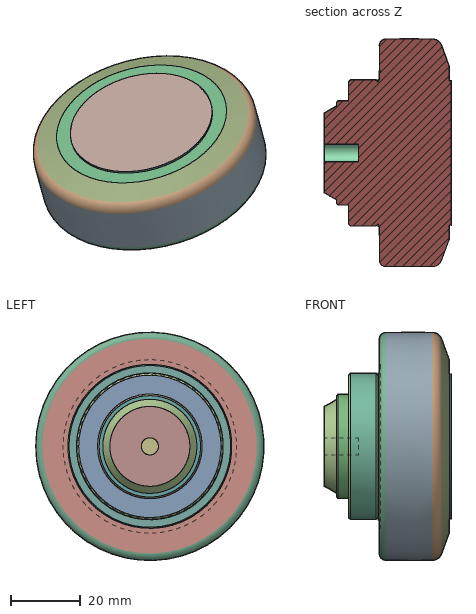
import cadquery as cq
import math

shoulder_x = 3.55
flange_x = 6.95
flange_end_x = 15.45
wheel_x = 15.8
wheel_end_x = 35.9
overall_length = 36.5

nose_tip_diameter = 22.9
nose_base_diameter = 27.0
shoulder_diameter = 30.0
shoulder_chamfer = 0.45
flange_diameter = 42.0
flange_chamfer = 0.6

wheel_diameter = 65.5
crown_radius = 497.8
front_corner_radius = 1.95
tread_start_x = wheel_x + front_corner_radius
tread_end_x = 31.0
back_corner_radius = 2.95
back_cone_angle = 20.0

front_disc_diameter = 42.1
back_disc_diameter = 41.5
ring_outer_diameter = 47.0
ring_inner_diameter = 46.4
ring_depth = (ring_outer_diameter - ring_inner_diameter) / 2

hole_diameter = 4.9
hole_depth = 9.8


def disc(start_x, end_x, diameter):
    """Cylinder about the X axis."""
    return cq.Workplane("YZ", origin=(start_x, 0, 0)).circle(diameter / 2).extrude(end_x - start_x)


def make_nose():
    """Truncated cone that widens toward the shoulder."""
    profile = [
        (0, 0),
        (0, nose_tip_diameter / 2),
        (shoulder_x, nose_base_diameter / 2),
        (shoulder_x, 0),
    ]
    return cq.Workplane("XY").polyline(profile).close().revolve(360, (0, 0, 0), (1, 0, 0))


def make_shoulder():
    return disc(shoulder_x, flange_x, shoulder_diameter).faces("<X").chamfer(shoulder_chamfer)


def make_flange():
    """Flange with both rims chamfered."""
    return disc(flange_x, flange_end_x, flange_diameter).faces("<X or >X").chamfer(flange_chamfer)


def make_wheel():
    """Wheel with a crowned tread, rounded corners and a conical back rim."""
    wheel_radius = wheel_diameter / 2
    half_tread = (tread_end_x - tread_start_x) / 2
    tread_middle_x = tread_start_x + half_tread
    crown_drop = crown_radius - math.sqrt(crown_radius**2 - half_tread**2)
    tread_edge_radius = wheel_radius - crown_drop

    front_bend = front_corner_radius * (1 - math.sqrt(0.5))
    front_face_radius = tread_edge_radius - front_corner_radius

    sweep = math.radians(90 - back_cone_angle)
    back_center_radius = tread_edge_radius - back_corner_radius

    def back_corner_point(angle):
        x = tread_end_x + back_corner_radius * math.sin(angle)
        return x, back_center_radius + back_corner_radius * math.cos(angle)

    cone_start_x, cone_start_radius = back_corner_point(sweep)
    cone_drop = (wheel_end_x - cone_start_x) / math.tan(math.radians(back_cone_angle))

    profile = (
        cq.Workplane("XY")
        .moveTo(wheel_x, 0)
        .lineTo(wheel_x, front_face_radius)
        .threePointArc(
            (wheel_x + front_bend, tread_edge_radius - front_bend),
            (tread_start_x, tread_edge_radius),
        )
        .threePointArc((tread_middle_x, wheel_radius), (tread_end_x, tread_edge_radius))
        .threePointArc(back_corner_point(sweep / 2), (cone_start_x, cone_start_radius))
        .lineTo(wheel_end_x, cone_start_radius - cone_drop)
        .lineTo(wheel_end_x, 0)
        .close()
    )
    return profile.revolve(360, (0, 0, 0), (1, 0, 0))


def make_ring_groove():
    """Groove with a straight outer wall and a sloping inner wall, cut into the front wheel face."""
    profile = [
        (wheel_x, ring_inner_diameter / 2),
        (wheel_x, ring_outer_diameter / 2),
        (wheel_x + ring_depth, ring_outer_diameter / 2),
    ]
    return cq.Workplane("XY").polyline(profile).close().revolve(360, (0, 0, 0), (1, 0, 0))


result = (
    make_wheel()
    .cut(make_ring_groove())
    .union(disc(flange_end_x, wheel_x, front_disc_diameter))
    .union(disc(wheel_end_x, overall_length, back_disc_diameter))
    .union(make_flange())
    .union(make_shoulder())
    .union(make_nose())
    .cut(disc(0, hole_depth, hole_diameter))
)